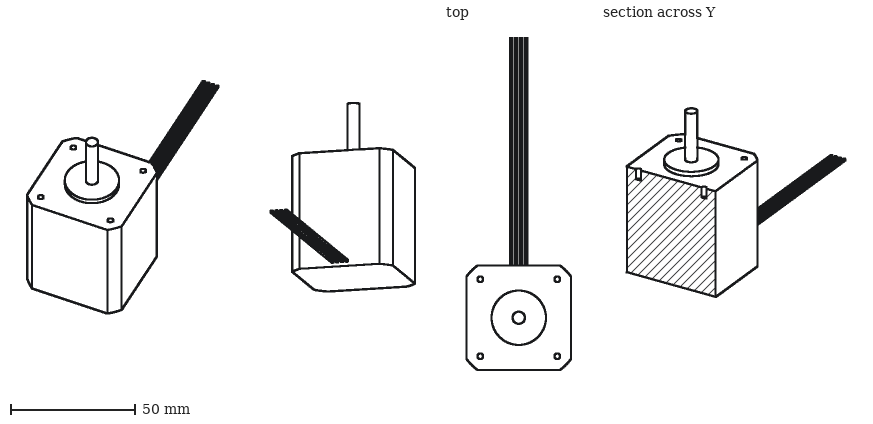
import cadquery as cq
import math

body_width = 42.1
body_height = 47.9
flat_width = 33.5
corner_radius = math.hypot(body_width / 2, flat_width / 2)

boss_diameter = 22.0
boss_height = 2.0
shaft_diameter = 5.0
overall_height = 71.8
shaft_length = overall_height - body_height

hole_spacing = 31.0
hole_diameter = 2.3
hole_depth = 4.5

overall_length = 133.8
wire_count = 4
wire_pitch = 2.0
wire_diameter = 1.0
wire_height = 2.1
wire_length = overall_length - body_width
wire_embed = 1.3


def make_body():
    block = cq.Workplane("XY").rect(body_width, body_width).extrude(body_height)
    turned_envelope = cq.Workplane("XY").circle(corner_radius).extrude(body_height)
    return block.intersect(turned_envelope)


def make_boss_and_shaft():
    top_face = cq.Workplane("XY").workplane(offset=body_height)
    boss = top_face.circle(boss_diameter / 2).extrude(boss_height)
    shaft = top_face.circle(shaft_diameter / 2).extrude(shaft_length)
    return boss.union(shaft)


def make_mounting_holes():
    return (
        cq.Workplane("XY")
        .workplane(offset=body_height)
        .rect(hole_spacing, hole_spacing, forConstruction=True)
        .vertices()
        .circle(hole_diameter / 2)
        .extrude(-hole_depth)
    )


def make_wires():
    start = cq.Vector(0, body_width / 2 - wire_embed, wire_height)
    return (
        cq.Workplane("XZ", origin=start)
        .rarray(wire_pitch, wire_pitch, wire_count, 1)
        .circle(wire_diameter / 2)
        .extrude(-(wire_length + wire_embed))
    )


result = make_body().union(make_boss_and_shaft()).cut(make_mounting_holes()).union(make_wires())